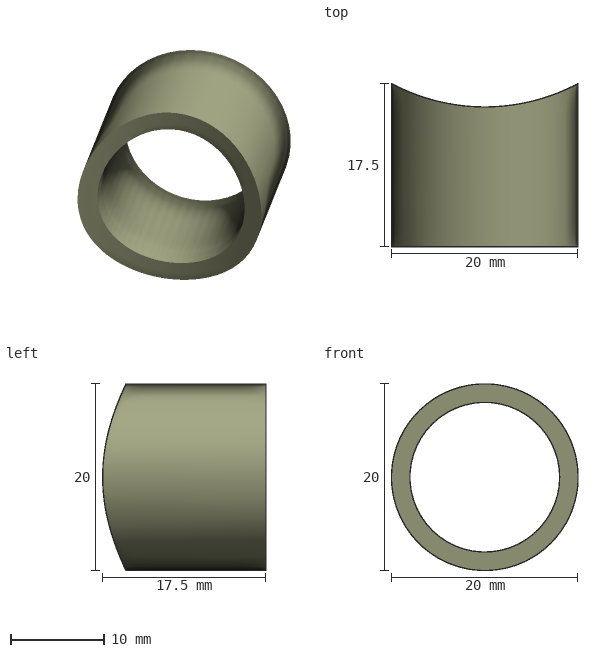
import cadquery as cq

tube_outer_diameter = 20.0
tube_wall = 2.0
saddle_pipe_diameter = 42.4
crown_length = 15.0

tube_outer_radius = tube_outer_diameter / 2
tube_inner_radius = tube_outer_radius - tube_wall
saddle_radius = saddle_pipe_diameter / 2
saddle_axis_y = crown_length + saddle_radius


def make_tube():
    """Plain tube along +Y from the flat end, reaching the axis of the mating pipe."""
    return (
        cq.Workplane("XZ")
        .circle(tube_outer_radius)
        .circle(tube_inner_radius)
        .extrude(-saddle_axis_y)
    )


def make_saddle_pipe():
    """Mating pipe parallel to Z, tall enough to cross the whole tube."""
    return (
        cq.Workplane("XY")
        .center(0, saddle_axis_y)
        .circle(saddle_radius)
        .extrude(tube_outer_diameter, both=True)
    )


result = make_tube().cut(make_saddle_pipe())